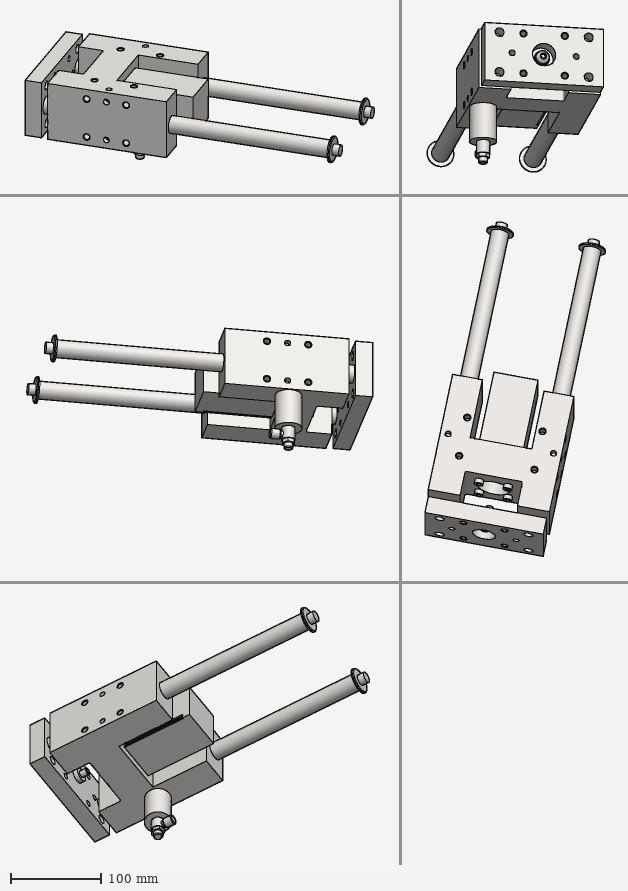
import cadquery as cq
import math


plate_thickness = 19.5
plate_width = 133.5
plate_height = 67.5
pitch = 46.5
screw_hole_span = 100.3
screw_hole_diameter = 10.0
dowel_span = 72.0
dowel_diameter = 6.5
thread_diameter = 6.5
thread_chamfer = 0.7
drill_point_angle = 118
counterbore_diameter = 26.0
counterbore_depth = 16.5

coupling_diameter = 17.0
coupling_head_diameter = 15.0
coupling_head_height = 12.0
coupling_flange_height = 3.5
coupling_head_chamfer = 4.0
coupling_socket_flats = 4.8
coupling_socket_depth = 3.0
collar_length = 5.5
stud_diameter = 8.0
stud_length = 8.8
stud_chamfer = 0.7

rod_diameter = 20.0
rod_span = 104.0
overall_length = 366
tip_diameter = 12.8
tip_length = 8.0
washer_diameter = 30.0
washer_thickness = 2.5
washer_chamfer = 1.0

block_front = 27.0
block_length = 139.8
block_width = 137.0
block_height = 68.5
block_center_z = 0.7
block_top = block_center_z + block_height / 2
block_bottom = block_center_z - block_height / 2
block_back = block_front + block_length
web_front = 56.5
web_back = 96.5
front_recess_width = 64.8
front_recess_fillet = 2.2
rear_recess_width = 69.5
bore_diameter = 36.5
mounting_center_x = 96.3
thread_depth = 11
dowel_depth = 7.5
top_thread_span = 85.0
top_dowel_span = 119.0

cylinder_back = 182.5
cylinder_width = 49.8
cylinder_height = 47.5
cylinder_screw_pitch = 32.5
cylinder_screw_head = 10.0
cylinder_screw_height = 5.0
cylinder_socket_flats = 4.5
cylinder_socket_depth = 3.0
groove_end = 173.5
groove_height = 5.0
groove_depth = 2.0
groove_center_z = -20.5
slot_end = 171.3
slot_height = 2.5
slot_depth = 4.5

unit_x = 92.2
unit_diameter = 30.0
unit_length = 40.5
neck_diameter = 15.0
neck_length = 14.5
hex_flats = 12.8
hex_turn = 15
hex_length = 4.5
plug_diameter = 10.0
plug_chamfer = 1.0
unit_total_length = 66
side_port_drop = 8.0
side_stem_diameter = 8.0
side_cap_start = 9.0
side_cap_length = 11.7
side_cap_diameter = 11.5
side_cap_chamfer = 1.0


def hexagon_diameter(flats):
    """Width across corners of a hexagon, given its width across flats."""
    return flats / math.cos(math.pi / 6)


def rod_along_x(diameter, start, end, y=0.0, z=0.0):
    """Cylinder with its axis along X."""
    return (
        cq.Workplane("YZ", origin=(start, y, z)).circle(diameter / 2).extrude(end - start)
    )


def hex_along_x(flats, start, end, y=0.0, z=0.0):
    """Hexagonal prism along X, given its width across flats."""
    return (
        cq.Workplane("YZ", origin=(start, y, z)).polygon(6, hexagon_diameter(flats)).extrude(end - start)
    )


def block_between(x0, x1, width, height, center_z=0.0):
    """Box centred on Y = 0."""
    return cq.Workplane("XY").box(x1 - x0, width, height).translate(((x0 + x1) / 2, 0, center_z))


def threaded_hole(point, direction, depth):
    """Cutter for a threaded hole with a chamfered mouth, going from point in a direction."""
    radius = thread_diameter / 2
    profile = (
        cq.Workplane("XZ")
        .lineTo(radius + thread_chamfer, 0)
        .lineTo(radius, thread_chamfer)
        .lineTo(radius, depth)
        .lineTo(0, depth + radius / math.tan(math.radians(drill_point_angle / 2)))
        .close()
        .revolve(360, (0, 0, 0), (0, 1, 0))
    )
    return profile.val().moved(cq.Plane(origin=point, normal=direction).location)


def dowel_hole(point, direction, depth):
    """Cutter for a plain dowel hole going from point in a direction."""
    return cq.Workplane(cq.Plane(origin=point, normal=direction)).circle(dowel_diameter / 2).extrude(depth)


def make_plate():
    plate = block_between(0, plate_thickness, plate_width, plate_height)
    face = cq.Workplane("YZ")
    plate = plate.cut(
        face.rect(screw_hole_span, pitch, forConstruction=True).vertices()
        .circle(screw_hole_diameter / 2).extrude(plate_thickness)
    )
    plate = plate.cut(
        face.pushPoints([(-dowel_span / 2, 0), (dowel_span / 2, 0)])
        .circle(dowel_diameter / 2).extrude(plate_thickness)
    )
    for y in (-pitch / 2, pitch / 2):
        for z in (-pitch / 2, pitch / 2):
            plate = plate.cut(
                threaded_hole((0, y, z), (1, 0, 0), plate_thickness)
            )
    return plate.cut(rod_along_x(counterbore_diameter, 0, counterbore_depth))


def make_coupling():
    head_front = counterbore_depth - coupling_head_height
    collar_end = plate_thickness + collar_length
    head = rod_along_x(coupling_head_diameter, head_front, counterbore_depth)
    head = head.faces("<X").chamfer(coupling_head_chamfer)
    head = head.cut(hex_along_x(coupling_socket_flats, head_front, head_front + coupling_socket_depth))
    collar = rod_along_x(coupling_diameter, counterbore_depth - coupling_flange_height, collar_end)
    stud = rod_along_x(stud_diameter, collar_end, collar_end + stud_length).faces(">X").chamfer(stud_chamfer)
    return head.union(collar).union(stud)


def make_guide_rod(y):
    rod_end = overall_length - tip_length
    rod = rod_along_x(rod_diameter, plate_thickness, rod_end, y)
    washer = rod_along_x(washer_diameter, rod_end - washer_thickness, rod_end, y)
    washer = washer.faces(">X").chamfer(washer_chamfer)
    tip = rod_along_x(tip_diameter, rod_end, overall_length, y)
    return rod.union(washer).union(tip)


def make_slide():
    slide = make_plate().union(make_coupling())
    for y in (-rod_span / 2, rod_span / 2):
        slide = slide.union(make_guide_rod(y))
    return slide


def make_block():
    block = block_between(block_front, block_back, block_width, block_height, block_center_z)
    front_recess = block_between(block_front, web_front, front_recess_width, block_height, block_center_z)
    block = block.cut(front_recess.edges("|Z and >X").fillet(front_recess_fillet))
    block = block.cut(block_between(web_back, block_back, rear_recess_width, block_height, block_center_z))
    block = block.cut(rod_along_x(bore_diameter, web_front, web_back))
    for side in (-1, 1):
        block = block.cut(rod_along_x(rod_diameter, block_front, block_back, side * rod_span / 2))
    return block


def cut_side_holes(block, side):
    """Two rows of thread, dowel, thread in the -Y (side -1) or +Y (side 1) face."""
    face_y = side * block_width / 2
    inward = (0, -side, 0)
    for z in (-pitch / 2, pitch / 2):
        block = block.cut(dowel_hole((mounting_center_x, face_y, z), inward, dowel_depth))
        for x in (mounting_center_x - pitch / 2, mounting_center_x + pitch / 2):
            block = block.cut(threaded_hole((x, face_y, z), inward, thread_depth))
    return block


def cut_top_holes(block, side):
    """Two threads and a dowel hole in the top of the -Y (side -1) or +Y (side 1) arm."""
    down = (0, 0, -1)
    dowel_point = (mounting_center_x, side * top_dowel_span / 2, block_top)
    block = block.cut(dowel_hole(dowel_point, down, dowel_depth))
    for x in (mounting_center_x - pitch / 2, mounting_center_x + pitch / 2):
        point = (x, side * top_thread_span / 2, block_top)
        block = block.cut(threaded_hole(point, down, thread_depth))
    return block


def side_slot(end, height, depth):
    """Cutter for a slot along X in the -Y side of the cylinder, starting at the web."""
    slot = cq.Workplane("XY").box(end - web_back, depth, height)
    return slot.translate(((web_back + end) / 2, (depth - cylinder_width) / 2, groove_center_z))


def make_cylinder():
    cylinder = block_between(web_back, cylinder_back, cylinder_width, cylinder_height)
    groove = side_slot(groove_end, groove_height, groove_depth)
    inner_slot = side_slot(slot_end, slot_height, slot_depth)
    return cylinder.cut(groove).cut(inner_slot)


def make_cylinder_screw(y, z):
    front = web_front - cylinder_screw_height
    head = rod_along_x(cylinder_screw_head, front, web_front, y, z)
    return head.cut(hex_along_x(cylinder_socket_flats, front, front + cylinder_socket_depth, y, z))


def clamping_unit_plane(drop):
    """Downward-facing plane on the axis of the clamping unit, a given drop below the block."""
    return cq.Plane(
        origin=(unit_x, rod_span / 2, block_bottom - drop), xDir=(1, 0, 0), normal=(0, 0, -1)
    )


def turned_section(diameter, start, end):
    """Round section of the clamping unit between two drops below the block."""
    return cq.Workplane(clamping_unit_plane(start)).circle(diameter / 2).extrude(end - start)


def make_side_port():
    """Stem and cap that point to +X from the neck of the clamping unit."""
    y = rod_span / 2
    z = block_bottom - unit_length - side_port_drop
    cap_start = unit_x + side_cap_start
    stem = rod_along_x(side_stem_diameter, unit_x, cap_start, y, z)
    cap = rod_along_x(side_cap_diameter, cap_start, cap_start + side_cap_length, y, z)
    return stem.union(cap.faces("<X or >X").chamfer(side_cap_chamfer))


def make_clamping_unit():
    neck_end = unit_length + neck_length
    hex_end = neck_end + hex_length
    body = turned_section(unit_diameter, 0, unit_length)
    neck = turned_section(neck_diameter, unit_length, neck_end)
    nut = (
        cq.Workplane(clamping_unit_plane(neck_end).rotated((0, 0, -hex_turn)))
        .polygon(6, hexagon_diameter(hex_flats)).extrude(hex_length)
    )
    plug = turned_section(plug_diameter, hex_end, unit_total_length)
    plug = plug.faces("<Z").chamfer(plug_chamfer)
    return body.union(neck).union(nut).union(plug).union(make_side_port())


def make_housing():
    housing = make_block()
    for side in (-1, 1):
        housing = cut_side_holes(housing, side)
        housing = cut_top_holes(housing, side)
    housing = housing.union(make_cylinder())
    for y in (-cylinder_screw_pitch / 2, cylinder_screw_pitch / 2):
        for z in (-cylinder_screw_pitch / 2, cylinder_screw_pitch / 2):
            housing = housing.union(make_cylinder_screw(y, z))
    return housing.union(make_clamping_unit())


slide = make_slide()
housing = make_housing()
result = cq.Compound.makeCompound([slide.val(), housing.val()])